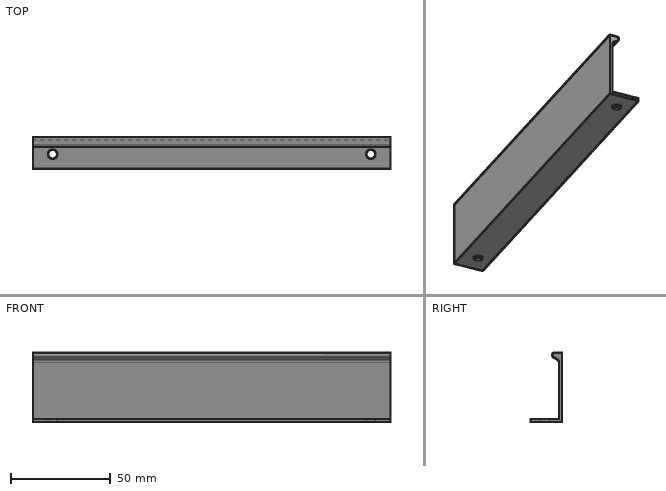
import cadquery as cq
import math

length = 180.0
depth = 16.0
height = 35.0
thickness = 1.6

lip_reach = 5.0
nose_radius = 1.3
lip_slope = math.radians(30)
root_radius = 1.6

hole_diameter = 4.5
hole_spacing = 160.0
hole_from_back = 8.6


def make_profile():
    """Section in the YZ plane: back face at Y = 0, flange and lip toward -Y."""
    nose_y = -(lip_reach - nose_radius)
    nose_z = height - nose_radius

    slope_y = nose_y - nose_radius * math.sin(lip_slope)
    slope_z = nose_z - nose_radius * math.cos(lip_slope)
    slope_drop = (-thickness - slope_y) * math.tan(lip_slope)

    return (
        cq.Workplane("YZ", origin=(-length / 2, 0, 0))
        .lineTo(0, height)
        .lineTo(nose_y, height)
        .threePointArc((nose_y - nose_radius, nose_z), (slope_y, slope_z))
        .lineTo(-thickness, slope_z - slope_drop)
        .lineTo(-thickness, thickness)
        .lineTo(-depth, thickness)
        .lineTo(-depth, 0)
        .close()
    )


def round_lip_root(body):
    """Blend the lip's sloped underside into the front face of the wall."""
    root_selector = cq.selectors.BoxSelector(
        (-length, -thickness - nose_radius / 2, height / 2),
        (length, -thickness + nose_radius / 2, height),
    )
    return body.edges("|X").edges(root_selector).fillet(root_radius)


def drill_flange_holes(body):
    """Cut the two through holes in the base flange."""
    centers = [(side * hole_spacing / 2, -hole_from_back) for side in (-1, 1)]
    drills = (
        cq.Workplane("XY")
        .pushPoints(centers)
        .circle(hole_diameter / 2)
        .extrude(thickness)
    )
    return body.cut(drills)


angle = make_profile().extrude(length)
angle = round_lip_root(angle)
result = drill_flange_holes(angle)